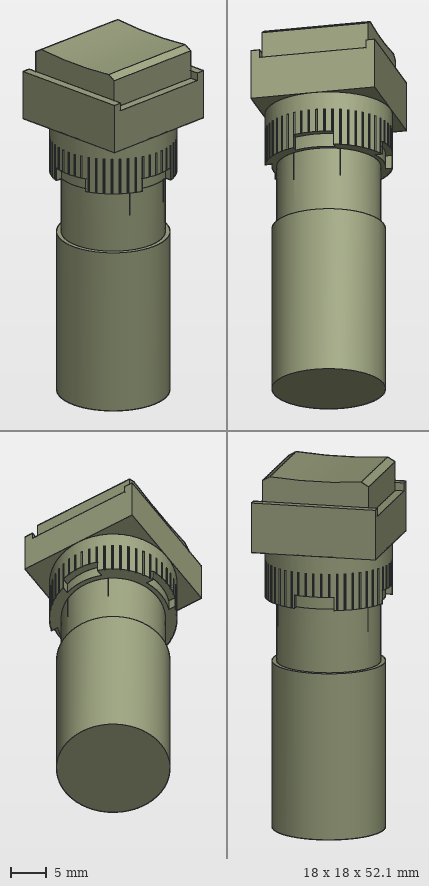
import cadquery as cq

BARREL_TOP = 24.1
TAB_BOTTOM = 29.45
RING_BOTTOM = 33.45
WINDOW_TOP = 35.4
GROOVE_TOP = 38.7
HEAD_BOTTOM = 41.3
CAP_SEAT = 47.3
HEAD_TOP = 48.45
CAP_SHOULDER = 51.5
TOTAL_HEIGHT = 52.1

BARREL_DIAMETER = 16.0
NECK_DIAMETER = 14.7

TAB_WIDTH = 6.85
TAB_SPAN = 13.1

RING_DIAMETER = 18.0
GROOVE_COUNT = 50
GROOVE_WIDTH = 0.25
GROOVE_DEPTH = 0.1
WINDOW_WIDTH = 5.75
WINDOW_FLOOR_DIAMETER = 16.0

HEAD_SIDE = 18.0
CAP_SIDE = 15.45
CAP_RIDGE_SPAN = 13.25
CAP_DISH_DEPTH = 0.3


def disc(diameter, bottom, top):
    """Upright cylinder on the Z axis between two heights."""
    return cq.Workplane("XY").workplane(offset=bottom).circle(diameter / 2).extrude(top - bottom)


def block(length, width, bottom, top):
    """Box centred on the Z axis between two heights."""
    return cq.Workplane("XY").workplane(offset=bottom).rect(length, width).extrude(top - bottom)


def make_ring():
    """Ring with evenly spaced V grooves and four windows in its lower edge."""
    ring = disc(RING_DIAMETER, RING_BOTTOM, HEAD_BOTTOM)

    cutter = (
        cq.Workplane("XY", origin=(0, -RING_DIAMETER / 2, RING_BOTTOM))
        .moveTo(0, GROOVE_DEPTH)
        .lineTo(GROOVE_WIDTH / 2, 0)
        .lineTo(0, -GROOVE_DEPTH)
        .lineTo(-GROOVE_WIDTH / 2, 0)
        .close()
        .extrude(GROOVE_TOP - RING_BOTTOM)
    )
    for index in range(GROOVE_COUNT):
        angle = index * 360 / GROOVE_COUNT
        ring = ring.cut(cutter.rotate((0, 0, 0), (0, 0, 1), angle))

    bar_length = 2 * RING_DIAMETER
    windows = (
        block(bar_length, WINDOW_WIDTH, RING_BOTTOM, WINDOW_TOP)
        .union(block(WINDOW_WIDTH, bar_length, RING_BOTTOM, WINDOW_TOP))
        .cut(disc(WINDOW_FLOOR_DIAMETER, RING_BOTTOM, WINDOW_TOP))
    )
    return ring.cut(windows)


def make_head():
    """Square head with a channel along X that leaves a wall on the -Y and +Y sides."""
    head = block(HEAD_SIDE, HEAD_SIDE, HEAD_BOTTOM, HEAD_TOP)
    return head.cut(block(HEAD_SIDE, CAP_SIDE, CAP_SEAT, HEAD_TOP))


def make_cap():
    """Push cap with sloped -X and +X edges and a shallow cylindrical dish on top."""
    half_side = CAP_SIDE / 2
    half_ridge = CAP_RIDGE_SPAN / 2
    return (
        cq.Workplane("XZ")
        .moveTo(-half_side, CAP_SEAT)
        .lineTo(-half_side, CAP_SHOULDER)
        .lineTo(-half_ridge, TOTAL_HEIGHT)
        .threePointArc((0, TOTAL_HEIGHT - CAP_DISH_DEPTH), (half_ridge, TOTAL_HEIGHT))
        .lineTo(half_side, CAP_SHOULDER)
        .lineTo(half_side, CAP_SEAT)
        .close()
        .extrude(half_side, both=True)
    )


barrel = disc(BARREL_DIAMETER, 0, BARREL_TOP)
neck = disc(NECK_DIAMETER, BARREL_TOP, RING_BOTTOM)
latch_tabs = block(TAB_SPAN, TAB_WIDTH, TAB_BOTTOM, RING_BOTTOM)

result = (
    barrel.union(neck)
    .union(latch_tabs)
    .union(make_ring())
    .union(make_head())
    .union(make_cap())
)